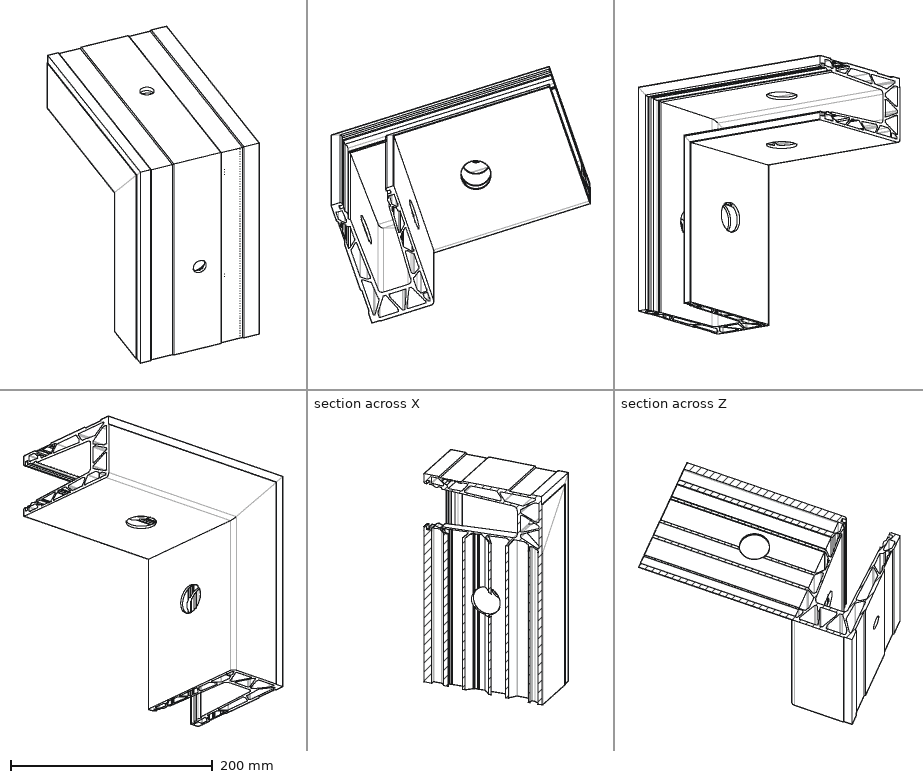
import cadquery as cq

LEG_LENGTH = 228.2
WIDTH = 130
HEIGHT = 65.7

GROOVE_DEPTH = 1.1
GROOVES = [(11.9, 37.0), (87.9, 113.0)]
FRONT_STEP = 0.7
FRONT_STEP_DEPTH = 9.0
INNER_CORNER_RADIUS = 4.0
REAR_CHAMFER = 0.7

CHANNEL_MID = 34.0
CHANNEL_CORNER_RADIUS = 4.0
CHANNEL_BACK = 27.8
CHANNEL_BACK_HALF = 17.0

OUTER_SKIN = 4.0
CHAMBER_CORNER_RADIUS = 0.57
OUTER_WALL_CHAMBERS = [
    [(121.5, 2.5), (113.9, 2.5), (108.6, 7.3), (108.6, 9.5), (121.5, 9.0)],
    [(79.2, OUTER_SKIN), (50.2, OUTER_SKIN), (45.6, 10.0), (45.6, 13.7), (85.3, 11.9), (85.3, 10.5)],
    [(46.3, OUTER_SKIN), (8.0, OUTER_SKIN), (8.0, 5.7), (21.2, 14.4), (41.0, 12.8), (46.3, 5.7)],
]
BACK_WALL_CHAMBERS = [
    [(24.0, 19.6), (10.0, 9.8), (7.8, 9.0), (3.9, 9.0), (3.9, 29.0), (7.8, 29.0), (24.0, 22.4)],
    [(24.0, 25.5), (20.8, 25.5), (3.9, 33.3), (3.9, 35.5), (21.2, 42.7), (24.0, 43.1)],
    [(24.0, 46.5), (5.7, 38.3), (3.9, 38.3), (3.9, 57.7), (5.7, 57.7), (24.0, 49.0)],
]
INNER_WALL_CHAMBERS = [
    [(121.5, 58.5), (112.5, 57.7), (108.6, 61.4), (108.6, 63.2), (121.5, 63.2)],
    [(61.4, 55.0), (39.0, 53.6), (36.7, 55.0), (36.7, 56.5), (40.5, 62.5), (56.0, 62.5), (61.4, 57.3)],
    [(32.0, 53.6), (19.9, 53.6), (15.3, 56.1), (15.3, 62.5), (37.5, 62.5), (37.5, 61.2)],
    [(14.0, 57.7), (10.3, 57.7), (4.8, 60.5), (4.8, 62.5), (14.0, 62.5)],
]
PADDED_CHAMBERS = [
    [
        (109.5, 2.5), (105.0, 2.5), (104.0, 3.2), (102.2, 3.5), (101.3, 2.5), (92.9, 2.5),
        (92.0, 3.2), (90.8, 3.5), (89.7, 3.5), (88.5, 3.2), (87.9, 2.5), (82.0, 2.5),
        (82.8, 4.8), (88.5, 11.2), (103.0, 11.2), (104.5, 7.5), (107.3, 7.0), (109.5, 4.0),
    ],
    [
        (109.5, 56.8), (106.0, 56.1), (105.0, 56.1), (104.0, 56.5), (102.2, 56.8), (101.3, 56.1),
        (82.0, 55.0), (82.0, 56.8), (88.5, 63.2), (103.0, 63.2), (103.4, 61.4), (107.0, 61.0),
        (109.5, 58.5),
    ],
    [
        (84.7, 63.2), (84.7, 62.3), (79.0, 56.8), (77.5, 56.8), (77.4, 55.2), (74.6, 55.2),
        (74.0, 55.7), (72.8, 55.7), (72.0, 55.2), (66.6, 54.8), (59.0, 61.4), (59.0, 63.2),
    ],
]

HOLE_FROM_END = 98.1
HOLE_DIAMETER = 14.0
ACCESS_DIAMETER = 30.0
ACCESS_STOP_DEPTH = OUTER_SKIN + 0.7


def place(points):
    """Turn (y, depth) points into sketch points on the YZ plane."""
    return [(y, LEG_LENGTH - depth) for y, depth in points]


def extrude_outline(points):
    return cq.Workplane("YZ").polyline(place(points)).close().extrude(LEG_LENGTH)


def make_skin():
    outline = [(FRONT_STEP, 0)]
    for start, end in GROOVES:
        outline += [
            (start, 0),
            (start + GROOVE_DEPTH, GROOVE_DEPTH),
            (end - GROOVE_DEPTH, GROOVE_DEPTH),
            (end, 0),
        ]
    outline += [
        (WIDTH - REAR_CHAMFER, 0),
        (WIDTH, REAR_CHAMFER),
        (WIDTH, HEIGHT - REAR_CHAMFER),
        (WIDTH - REAR_CHAMFER, HEIGHT),
        (0, HEIGHT),
        (0, FRONT_STEP_DEPTH),
        (FRONT_STEP, FRONT_STEP_DEPTH),
    ]
    inner_front_edge = cq.selectors.NearestToPointSelector((LEG_LENGTH / 2, 0, LEG_LENGTH - HEIGHT))
    return extrude_outline(outline).edges(inner_front_edge).fillet(INNER_CORNER_RADIUS)


def make_channel():
    mouth = [(WIDTH, 24.5), (128.7, 22.8), (126.9, 22.8), (126.9, 26.7), (123.7, 26.7), (123.7, 22.8), (119.8, 22.8)]
    cove_middle = (118.5, 21.5)
    cove_end = (115.5, 21.2)
    ridge = [(111.8, 22.1), (111.0, 22.0), (110.2, 20.3)]
    back = (CHANNEL_BACK, CHANNEL_BACK_HALF)

    def flank(points, side):
        return place([(y, CHANNEL_MID + side * half) for y, half in points])

    outer_mouth = flank(mouth, -1)
    outer_cove = flank([cove_middle, cove_end], -1)
    outer_ridge = flank(ridge + [back], -1)
    inner_ridge = flank([back] + ridge[::-1] + [cove_end], 1)
    inner_cove = flank([cove_middle, mouth[-1]], 1)
    inner_mouth = flank(mouth[-2::-1], 1)
    channel = (
        cq.Workplane("YZ")
        .polyline(outer_mouth)
        .threePointArc(*outer_cove)
        .polyline(outer_ridge + inner_ridge, includeCurrent=True)
        .threePointArc(*inner_cove)
        .polyline(inner_mouth, includeCurrent=True)
        .close()
        .extrude(LEG_LENGTH)
    )
    return channel.faces("<Y").edges("|X").fillet(CHANNEL_CORNER_RADIUS)


def make_leg():
    leg = make_skin().cut(make_channel())
    for outline in OUTER_WALL_CHAMBERS + BACK_WALL_CHAMBERS + INNER_WALL_CHAMBERS:
        leg = leg.cut(extrude_outline(outline).edges("|X").fillet(CHAMBER_CORNER_RADIUS))
    for outline in PADDED_CHAMBERS:
        leg = leg.cut(extrude_outline(outline))
    return leg


def drill(leg):
    """Screw hole through the outer skin, access hole through the walls behind it."""
    axis = cq.Workplane("XY").center(HOLE_FROM_END, WIDTH / 2)
    screw_hole = axis.circle(HOLE_DIAMETER / 2).extrude(LEG_LENGTH)
    access_hole = axis.circle(ACCESS_DIAMETER / 2).extrude(LEG_LENGTH - ACCESS_STOP_DEPTH)
    return leg.cut(screw_hole).cut(access_hole)


def miter(leg):
    """Keep the part of the leg above the diagonal plane x = z."""
    wedge = (
        cq.Workplane("XZ")
        .polyline([(0, 0), (LEG_LENGTH, LEG_LENGTH), (0, LEG_LENGTH)])
        .close()
        .extrude(-WIDTH)
    )
    return leg.intersect(wedge)


horizontal_leg = miter(drill(make_leg()))
vertical_leg = horizontal_leg.mirror((1, 0, -1))

result = horizontal_leg.union(vertical_leg, clean=False)